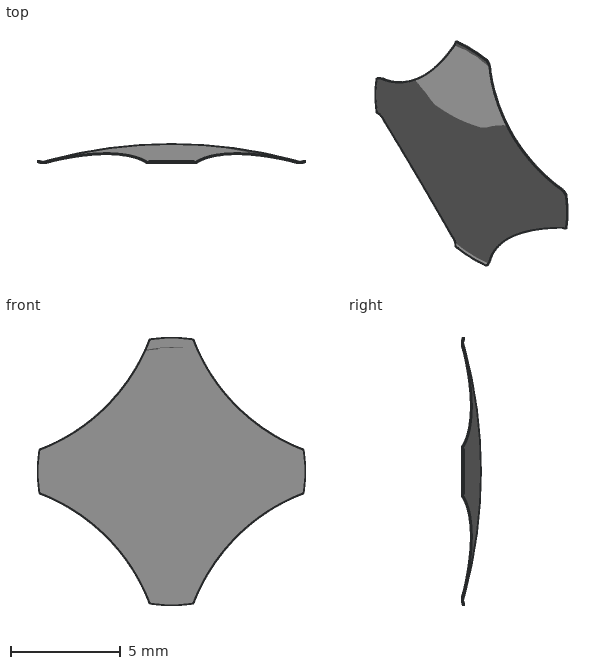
import cadquery as cq
import math

RIM_RADIUS = 6.1
DEPTH = 0.88
THICKNESS = 0.06
DOME_RADIUS = 21.39
DOME_EDGE_RADIUS = 5.6
BEND_EDGE_RADIUS = 5.68
LIP_START_RADIUS = 6.02
BEND_SLOPE = 0.42
LIP_SLOPE = 0.3
CUTOUT_CENTER = 9.06
CUTOUT_RADIUS = 8.62
CORNER_RADIUS = 0.1
TRIM_ALLOWANCE = 0.12


def offset_point(point, slope, distance):
    """Move a profile point along its surface normal, towards the convex side."""
    r, y = point
    return (r - distance * math.sin(slope), y + distance * math.cos(slope))


def arc_end(start, start_slope, end_slope, end_r):
    """End of a tangent arc that changes slope while reaching radius end_r."""
    bend = (end_r - start[0]) / (math.sin(end_slope) - math.sin(start_slope))
    return (end_r, start[1] + bend * (math.cos(start_slope) - math.cos(end_slope)))


def make_dished_sheet():
    """Revolve the dome, rim bend, valley and straight lip about the Y axis."""
    dome_slope = -math.asin(DOME_EDGE_RADIUS / DOME_RADIUS)
    half_dome_slope = dome_slope / 2
    mid_bend_slope = (dome_slope - BEND_SLOPE) / 2
    apex = (0, DEPTH)
    dome_mid = arc_end(apex, 0, half_dome_slope, -DOME_RADIUS * math.sin(half_dome_slope))
    dome_end = arc_end(apex, 0, dome_slope, DOME_EDGE_RADIUS)

    bend_radius = (BEND_EDGE_RADIUS - DOME_EDGE_RADIUS) / (math.sin(BEND_SLOPE) + math.sin(dome_slope))
    bend_mid_r = DOME_EDGE_RADIUS + bend_radius * (math.sin(dome_slope) - math.sin(mid_bend_slope))
    bend_mid = arc_end(dome_end, dome_slope, mid_bend_slope, bend_mid_r)
    bend_end = arc_end(dome_end, dome_slope, -BEND_SLOPE, BEND_EDGE_RADIUS)

    valley_radius = (LIP_START_RADIUS - BEND_EDGE_RADIUS) / (math.sin(LIP_SLOPE) + math.sin(BEND_SLOPE))
    valley_mid_r = BEND_EDGE_RADIUS + valley_radius * math.sin(BEND_SLOPE)
    valley_mid = arc_end(bend_end, -BEND_SLOPE, 0, valley_mid_r)
    valley_end = arc_end(bend_end, -BEND_SLOPE, LIP_SLOPE, LIP_START_RADIUS)

    lip_run = RIM_RADIUS + TRIM_ALLOWANCE - LIP_START_RADIUS
    lip_end = (LIP_START_RADIUS + lip_run, valley_end[1] + lip_run * math.tan(LIP_SLOPE))

    profile = (
        cq.Workplane("XY")
        .moveTo(*apex)
        .threePointArc(dome_mid, dome_end)
        .threePointArc(bend_mid, bend_end)
        .threePointArc(valley_mid, valley_end)
        .lineTo(*lip_end)
        .lineTo(*offset_point(lip_end, LIP_SLOPE, -THICKNESS))
        .lineTo(*offset_point(valley_end, LIP_SLOPE, -THICKNESS))
        .threePointArc(
            offset_point(valley_mid, 0, -THICKNESS),
            offset_point(bend_end, -BEND_SLOPE, -THICKNESS),
        )
        .threePointArc(
            offset_point(bend_mid, mid_bend_slope, -THICKNESS),
            offset_point(dome_end, dome_slope, -THICKNESS),
        )
        .threePointArc(
            offset_point(dome_mid, half_dome_slope, -THICKNESS),
            offset_point(apex, 0, -THICKNESS),
        )
        .close()
    )
    return profile.revolve(360, (0, 0, 0), (0, 1, 0))


def make_outline():
    """Four-armed prism left by four round cutouts, with rounded arm corners."""
    blank_height = 2 * DEPTH
    blank = cq.Workplane("XZ").circle(RIM_RADIUS).extrude(blank_height / 2, both=True)
    cutouts = (
        cq.Workplane("XZ")
        .rect(2 * CUTOUT_CENTER, 2 * CUTOUT_CENTER, forConstruction=True)
        .vertices()
        .circle(CUTOUT_RADIUS)
        .extrude(blank_height, both=True)
    )
    return blank.cut(cutouts).edges("|Y").fillet(CORNER_RADIUS)


result = make_outline().intersect(make_dished_sheet())